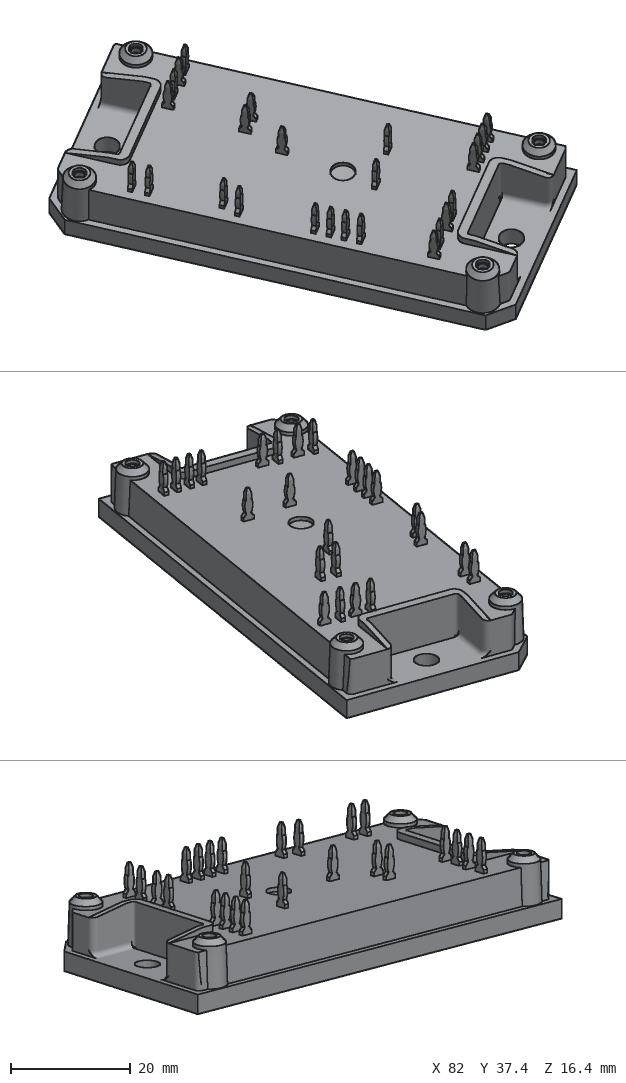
import cadquery as cq

plate_length = 82.0
plate_width = 37.4
pad_length = 57.2
pad_width = 33.0
plate_chamfer = 4.0
mount_hole_diameter = 4.3
mount_hole_x = 35.5

plate_bottom = 0.25
plate_top = 3.7
body_top = 10.4
post_shoulder = 11.1
rim_top = 11.65
post_top = 12.1
pin_top = 16.4

body_length = 79.45
body_base_width = 34.9
body_top_width = 34.3
body_chamfer = 3.4
body_corner_radius = 1.0
recess_diameter = 4.3
recess_depth = 0.7
recess_x = 5.9

notch_back_x = 30.6
notch_width = 17.7
notch_edge_radius = 1.15
notch_back_radius = 0.5
notch_foot_radius = 1.0
slit_gap = 0.5
rim_back_thickness = 1.7
rim_width = 20.0
rim_outer_radius = 1.6
rim_slope_start_x = 32.15
rim_slope_blend_radius = 2.95

post_x = 35.4
post_y = 15.4
post_base_radius = 3.0
post_shoulder_radius = 2.8
post_tip_radius = 1.8
post_hole_diameter = 2.4
post_hole_depth = 0.65
post_bore_diameter = 1.7

pin_thickness = 0.8
pin_foot_width = 2.05
pin_foot_top = 11.1
pin_waist_width = 1.0
pin_waist_height = 11.7
pin_bulge_width = 1.5
pin_bulge_height = 12.8
pin_bulge_end_width = 1.2
pin_bulge_top = 14.3
pin_neck_width = 1.1
pin_tip_start = 15.4
pin_tip_width = 0.5
pin_tip_thickness = 0.3
pin_left_x = -26.6
pin_right_x = 26.6
pin_front_y = -14.4
pins_along_x = [
    (pin_left_x, 11.5),
    (pin_left_x, 5.6),
    (-12.55, 7.1),
    (-12.55, 4.1),
    (-5.2, 1.2),
    (pin_right_x, 14.6),
    (pin_right_x, 12.1),
    (pin_right_x, 9.6),
    (pin_right_x, 7.2),
    (pin_right_x, -7.55),
    (pin_right_x, pin_front_y),
]
pins_along_y = [
    (pin_left_x, 14.6),
    (pin_left_x, 8.5),
    (pin_left_x, pin_front_y),
    (-23.5, pin_front_y),
    (-10.75, -13.45),
    (-7.7, pin_front_y),
    (5.65, pin_front_y),
    (8.4, pin_front_y),
    (11.0, pin_front_y),
    (13.7, pin_front_y),
    (11.5, 7.1),
    (12.1, -1.4),
    (pin_right_x, -4.6),
    (pin_right_x, -11.5),
]


def box_between(x_range, y_range, z_range):
    """Axis-aligned box given its low and high limits."""
    size = [high - low for low, high in (x_range, y_range, z_range)]
    return cq.Workplane("XY").box(*size, centered=False).translate((x_range[0], y_range[0], z_range[0]))


def both_ends(right_feature):
    """A feature of the +X end together with its mirror image at the -X end."""
    return right_feature.union(right_feature.mirror("YZ"))


def make_base():
    plate = (
        cq.Workplane("XY", origin=(0, 0, plate_bottom))
        .rect(plate_length, plate_width)
        .extrude(plate_top - plate_bottom)
        .edges("|Z and <Y")
        .chamfer(plate_chamfer)
    )
    pad = cq.Workplane("XY").rect(pad_length, pad_width).extrude(plate_bottom)
    return plate.union(pad)


def make_body():
    outline = (
        cq.Workplane("XY", origin=(0, 0, plate_top))
        .rect(body_length, body_base_width)
        .extrude(body_top - plate_top)
        .edges("|Z and <Y")
        .chamfer(body_chamfer)
        .edges("|Z")
        .fillet(body_corner_radius)
    )
    drafted = (
        cq.Workplane("YZ")
        .polyline([
            (-body_base_width / 2, plate_top),
            (body_base_width / 2, plate_top),
            (body_top_width / 2, body_top),
            (-body_top_width / 2, body_top),
        ])
        .close()
        .extrude(body_length / 2, both=True)
    )
    return outline.intersect(drafted)


def make_rim():
    """Raised band around the notch, sloping down to the body top at the end face."""
    rim_back_x = notch_back_x - rim_back_thickness
    band = (
        box_between((rim_back_x, body_length / 2), (-rim_width / 2, rim_width / 2), (plate_top, rim_top))
        .edges("|Z and <X")
        .fillet(rim_outer_radius)
    )
    side = (
        cq.Workplane("XZ")
        .moveTo(rim_back_x, plate_top)
        .lineTo(body_length / 2, plate_top)
        .lineTo(body_length / 2, body_top)
        .lineTo(rim_slope_start_x, rim_top)
        .lineTo(rim_back_x, rim_top)
        .close()
        .extrude(rim_width / 2, both=True)
        .edges(cq.selectors.NearestToPointSelector((rim_slope_start_x, 0, rim_top)))
        .fillet(rim_slope_blend_radius)
    )
    return both_ends(band.intersect(side))


def make_notch():
    """Cutter for the notch: rounded back corners, and a rounded flare where it meets the end face."""
    half_width = notch_width / 2
    end_x = body_length / 2
    edge_start_x = end_x - notch_edge_radius
    flare = half_width + notch_edge_radius
    cutter = (
        cq.Workplane("XY", origin=(0, 0, plate_top))
        .moveTo(notch_back_x, -half_width)
        .lineTo(edge_start_x, -half_width)
        .radiusArc((end_x, -flare), notch_edge_radius)
        .lineTo(end_x, flare)
        .radiusArc((edge_start_x, half_width), notch_edge_radius)
        .lineTo(notch_back_x, half_width)
        .close()
        .extrude(rim_top - plate_top)
        .edges("|Z and <X")
        .fillet(notch_back_radius)
    )
    return both_ends(cutter)


def make_notch_feet():
    """Concave fillets along the foot of the notch side walls, wrapping round the wall ends."""
    foot = notch_foot_radius
    corner_x = body_length / 2 - notch_edge_radius
    corner_y = notch_width / 2 + notch_edge_radius
    outer = notch_edge_radius + foot
    section = (
        cq.Workplane("XZ")
        .moveTo(notch_edge_radius, plate_top)
        .lineTo(outer, plate_top)
        .radiusArc((notch_edge_radius, plate_top + foot), foot)
        .close()
    )
    wrap = section.revolve(360, (0, 0, 0), (0, 1, 0)).translate((corner_x, corner_y, 0))
    wrap = wrap.intersect(
        box_between((corner_x, body_length / 2), (0, corner_y), (plate_top, plate_top + foot))
    )
    strip_start_x = notch_back_x + slit_gap
    wall_y = notch_width / 2
    strip = (
        cq.Workplane("YZ", origin=(strip_start_x, 0, 0))
        .moveTo(wall_y, plate_top)
        .lineTo(wall_y - foot, plate_top)
        .radiusArc((wall_y, plate_top + foot), -foot)
        .close()
        .extrude(corner_x - strip_start_x)
    )
    side_foot = strip.union(wrap)
    return both_ends(side_foot.union(side_foot.mirror("XZ")))


def make_slits():
    """Narrow gaps through the plate along the back wall of each notch."""
    return both_ends(
        box_between(
            (notch_back_x, notch_back_x + slit_gap),
            (-notch_width / 2, notch_width / 2),
            (plate_bottom, plate_top),
        )
    )


def make_post():
    """Tapered post with a coned top, and a stepped bore ending level with the body top."""
    hole_radius = post_hole_diameter / 2
    bore_radius = post_bore_diameter / 2
    ledge = post_top - post_hole_depth
    return (
        cq.Workplane("XZ")
        .polyline([
            (0, plate_top),
            (post_base_radius, plate_top),
            (post_shoulder_radius, post_shoulder),
            (post_tip_radius, post_top),
            (hole_radius, post_top),
            (hole_radius, ledge),
            (bore_radius, ledge),
            (bore_radius, body_top),
            (0, body_top),
        ])
        .close()
        .revolve(360, (0, 0, 0), (0, 1, 0))
    )


def make_pin():
    """Blade wide along X, narrowed to a blunt tip in both directions."""
    blade = (
        cq.Workplane("XZ")
        .moveTo(0, body_top)
        .lineTo(pin_foot_width / 2, body_top)
        .lineTo(pin_foot_width / 2, pin_foot_top)
        .lineTo(pin_waist_width / 2, pin_waist_height)
        .threePointArc((pin_bulge_width / 2, pin_bulge_height), (pin_bulge_end_width / 2, pin_bulge_top))
        .lineTo(pin_neck_width / 2, pin_bulge_top)
        .lineTo(pin_neck_width / 2, pin_tip_start)
        .lineTo(pin_tip_width / 2, pin_top)
        .lineTo(0, pin_top)
        .mirrorY()
        .extrude(pin_thickness / 2, both=True)
    )
    edge_profile = (
        cq.Workplane("YZ")
        .polyline([
            (-pin_thickness / 2, body_top),
            (pin_thickness / 2, body_top),
            (pin_thickness / 2, pin_tip_start),
            (pin_tip_thickness / 2, pin_top),
            (-pin_tip_thickness / 2, pin_top),
            (-pin_thickness / 2, pin_tip_start),
        ])
        .close()
        .extrude(pin_foot_width / 2, both=True)
    )
    return blade.intersect(edge_profile)


housing = make_body().union(make_rim()).cut(make_notch())
result = make_base().union(housing).union(make_notch_feet()).cut(make_slits())

post = make_post()
for x in (-post_x, post_x):
    for y in (-post_y, post_y):
        result = result.union(post.translate((x, y, 0)))

mount_holes = (
    cq.Workplane("XY")
    .pushPoints([(-mount_hole_x, 0), (mount_hole_x, 0)])
    .circle(mount_hole_diameter / 2)
    .extrude(plate_top)
)
recess = (
    cq.Workplane("XY", origin=(recess_x, 0, body_top - recess_depth))
    .circle(recess_diameter / 2)
    .extrude(recess_depth)
)
result = result.cut(mount_holes).cut(recess)

pin_along_x = make_pin()
pin_along_y = pin_along_x.rotate((0, 0, 0), (0, 0, 1), 90)
for x, y in pins_along_x:
    result = result.union(pin_along_x.translate((x, y, 0)))
for x, y in pins_along_y:
    result = result.union(pin_along_y.translate((x, y, 0)))